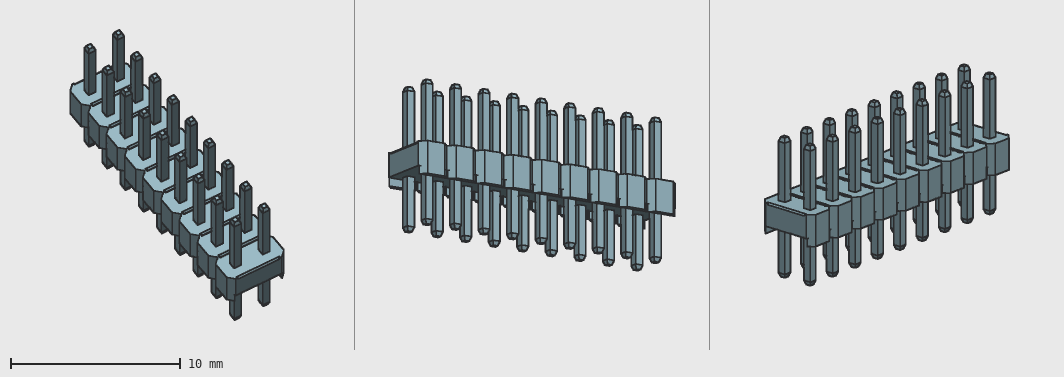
import cadquery as cq

columns = 9
rows = 2
header_length = 18.0
pitch = header_length / columns

body_width = rows * pitch
body_height = pitch
corner_chamfer = 0.4
channel_width = 3.3
channel_depth = 0.5
groove_length = 3.0
groove_depth = 0.1

pin_side = 0.5
pin_above_body = 4.0
pin_below_body = 2.8
tip_length = 0.27
tip_side = 0.3


def row_center(index, count):
    """Coordinate of one pitch cell in a row of cells centered on the origin."""
    return (index - (count - 1) / 2) * pitch


def make_cell(x):
    """One column of the body: a block with its four upright corners chamfered."""
    block = cq.Workplane("XY").box(pitch, body_width, body_height, centered=(True, True, False))
    return block.edges("|Z").chamfer(corner_chamfer).translate((x, 0, 0))


def make_channel():
    """Channel along the underside, leaving a foot on each long side of the body."""
    return cq.Workplane("XY").box(header_length, channel_width, channel_depth, centered=(True, True, False))


def make_groove(x):
    """V groove across the top of the body, with 45 degree sides and 45 degree ends."""
    top = body_height
    bottom = body_height - groove_depth
    half_length = groove_length / 2
    v_section = (
        cq.Workplane("XZ")
        .polyline([(-groove_depth, top), (groove_depth, top), (0, bottom)])
        .close()
        .extrude(half_length, both=True)
    )
    sloped_ends = (
        cq.Workplane("YZ")
        .polyline([
            (-half_length, top),
            (half_length, top),
            (half_length - groove_depth, bottom),
            (groove_depth - half_length, bottom),
        ])
        .close()
        .extrude(groove_depth, both=True)
    )
    return v_section.intersect(sloped_ends).translate((x, 0, 0))


def make_tip():
    """Square frustum that narrows upward from the end of a pin shank."""
    return (
        cq.Workplane("XY")
        .rect(pin_side, pin_side)
        .workplane(offset=tip_length)
        .rect(tip_side, tip_side)
        .loft()
    )


def make_pin(x, y):
    """Square pin through the body, with a tapered tip at both ends."""
    shank_bottom = tip_length - pin_below_body
    shank_top = body_height + pin_above_body - tip_length
    shank = (
        cq.Workplane("XY")
        .workplane(offset=shank_bottom)
        .rect(pin_side, pin_side)
        .extrude(shank_top - shank_bottom)
    )
    upper_tip = make_tip().translate((0, 0, shank_top))
    lower_tip = make_tip().mirror("XY").translate((0, 0, shank_bottom))
    return shank.union(upper_tip).union(lower_tip).translate((x, y, 0))


column_centers = [row_center(column, columns) for column in range(columns)]
row_centers = [row_center(row, rows) for row in range(rows)]

body = make_cell(column_centers[0])
for x in column_centers[1:]:
    body = body.union(make_cell(x))
body = body.cut(make_channel())

for boundary in range(columns + 1):
    body = body.cut(make_groove(boundary * pitch - header_length / 2))

result = body
for x in column_centers:
    for y in row_centers:
        result = result.union(make_pin(x, y))